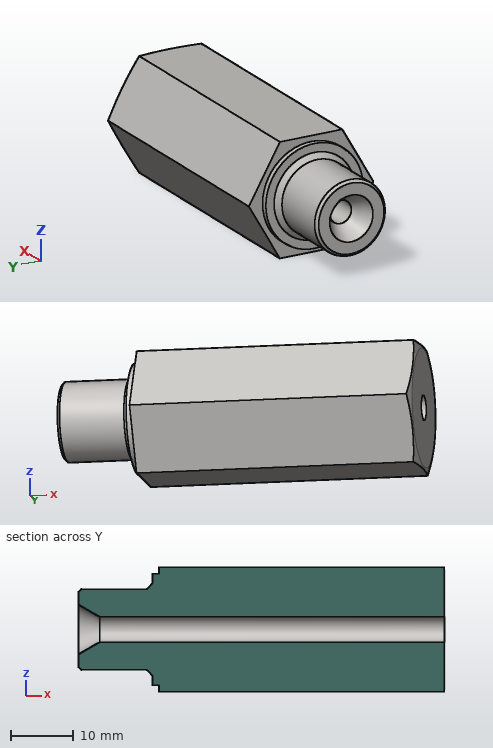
import cadquery as cq
import math

total_length = 58.9
across_flats = 20.0
across_corners = across_flats / math.cos(math.pi / 6)

cone_start = 11.0
collar_start = 11.9
hex_start = 12.95

spigot_radius = 6.55
cone_radius = 7.5
collar_radius = 9.0
tip_chamfer_length = 0.5
tip_chamfer_height = 0.5

bore_radius = 2.0
seat_radius = 4.0
seat_half_angle = math.radians(30)
seat_depth = (seat_radius - bore_radius) / math.tan(seat_half_angle)

end_face_radius = 9.65
corner_bevel_length = 0.55


def make_spigot():
    """Revolved spigot, flared neck and collar."""
    profile = [
        (0, 0),
        (0, spigot_radius - tip_chamfer_height),
        (tip_chamfer_length, spigot_radius),
        (cone_start, spigot_radius),
        (collar_start, cone_radius),
        (collar_start, collar_radius),
        (hex_start, collar_radius),
        (hex_start, 0),
    ]
    return cq.Workplane("XY").polyline(profile).close().revolve(360, (0, 0, 0), (1, 0, 0))


def make_hexagon():
    """Hexagonal bar with corners on +Y and -Y and a bevelled far end."""
    bar = (
        cq.Workplane("YZ", origin=(hex_start, 0, 0))
        .polygon(6, across_corners)
        .extrude(total_length - hex_start)
    )
    corner_radius = across_corners / 2
    envelope = (
        cq.Workplane("XY")
        .polyline([
            (hex_start, 0),
            (hex_start, corner_radius),
            (total_length - corner_bevel_length, corner_radius),
            (total_length, end_face_radius),
            (total_length, 0),
        ])
        .close()
        .revolve(360, (0, 0, 0), (1, 0, 0))
    )
    return bar.intersect(envelope)


def make_bore():
    """Through bore with a conical seat in the spigot tip."""
    profile = [
        (0, 0),
        (0, seat_radius),
        (seat_depth, bore_radius),
        (total_length, bore_radius),
        (total_length, 0),
    ]
    return cq.Workplane("XY").polyline(profile).close().revolve(360, (0, 0, 0), (1, 0, 0))


result = make_spigot().union(make_hexagon()).cut(make_bore())